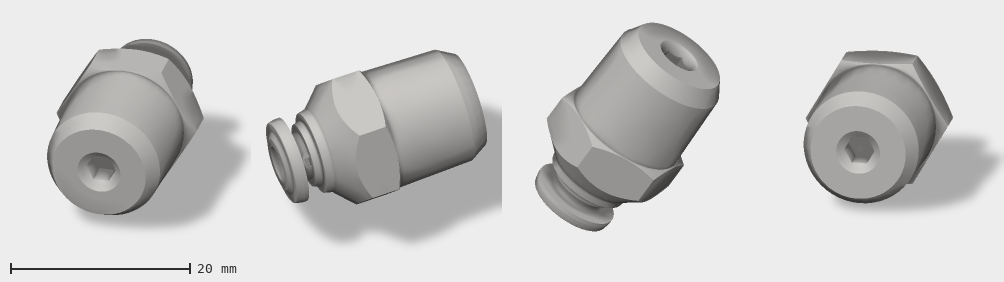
import cadquery as cq
import math


total_length = 23.0
nut_across_flats = 14.0
nut_corner_radius = nut_across_flats / 2 / math.cos(math.radians(30))

plug_end_radius = 5.4
plug_lead_angle = 30.0
plug_lead_length = 1.95
plug_lead_radius = plug_end_radius + plug_lead_length * math.tan(math.radians(plug_lead_angle))
plug_taper = 1 / 32
plug_length = 11.0
plug_base_radius = plug_lead_radius + (plug_length - plug_lead_length) * plug_taper

nut_face_radius = 6.97
nut_bevel_angle = 30.0
nut_outer_radius = nut_corner_radius + 0.23
nut_bevel_length = (nut_outer_radius - nut_face_radius) * math.tan(math.radians(nut_bevel_angle))
nut_cone_end_y = 17.99
nut_cone_end_radius = 4.9
nut_cone_start_y = nut_cone_end_y - (nut_outer_radius - nut_cone_end_radius)

collar_end_y = 18.98
collar_end_radius = 4.67

ring_root_radius = 3.73
ring_crest_y = 19.15
ring_crest_radius = 3.85
ring_end_y = 19.87
ring_end_radius = 3.65
neck_radius = 2.75
neck_fillet_radius = 0.48
flange_y = 21.18
flange_radius = 4.9
flange_rim_width = 0.5
flange_face_y = 22.56
flange_cone_end_radius = 4.74
flange_edge_rounding = 0.14
button_base_radius = 3.68
button_tip_radius = 3.05

bore_radius = 2.12

socket_across_flats = 3.0
socket_corner_diameter = socket_across_flats / math.cos(math.radians(30))
socket_depth = 3.45
socket_mouth_radius = 2.48
countersink_depth = socket_mouth_radius - socket_across_flats / 2

notch_angle = 140.0
notch_width = 1.05
notch_length = 0.65


def revolve_outline(outline):
    """Turn an outline of (radius, y) points about the Y axis."""
    return cq.Workplane("XY").polyline(outline).close().revolve(360, (0, 0, 0), (0, 1, 0))


def along_y(start_y):
    """Workplane facing +Y at start_y, with its own x axis along X."""
    return cq.Workplane(cq.Plane((0, start_y, 0), (1, 0, 0), (0, 1, 0)))


def make_plug():
    return revolve_outline([
        (0, 0),
        (plug_end_radius, 0),
        (plug_lead_radius, plug_lead_length),
        (plug_base_radius, plug_length),
        (0, plug_length),
    ])


def make_nut():
    prism = along_y(plug_length).polygon(6, 2 * nut_corner_radius).extrude(nut_cone_end_y - plug_length)
    envelope = revolve_outline([
        (0, plug_length),
        (nut_face_radius, plug_length),
        (nut_outer_radius, plug_length + nut_bevel_length),
        (nut_outer_radius, nut_cone_start_y),
        (nut_cone_end_radius, nut_cone_end_y),
        (0, nut_cone_end_y),
    ])
    return prism.intersect(envelope)


def make_collar():
    return revolve_outline([
        (0, nut_cone_end_y),
        (nut_cone_end_radius, nut_cone_end_y),
        (collar_end_radius, collar_end_y),
        (0, collar_end_y),
    ])


def make_sleeve():
    fillet_start = (neck_radius, flange_y - neck_fillet_radius)
    fillet_end = (neck_radius + neck_fillet_radius, flange_y)
    rounding_start = (flange_cone_end_radius, flange_face_y - flange_edge_rounding)
    rounding_end = (flange_cone_end_radius - flange_edge_rounding, flange_face_y)
    outline = (
        cq.Workplane("XY")
        .moveTo(0, collar_end_y)
        .lineTo(ring_root_radius, collar_end_y)
        .lineTo(ring_crest_radius, ring_crest_y)
        .lineTo(ring_end_radius, ring_end_y)
        .lineTo(neck_radius, ring_end_y)
        .lineTo(*fillet_start)
        .radiusArc(fillet_end, neck_fillet_radius)
        .lineTo(flange_radius, flange_y)
        .lineTo(flange_radius, flange_y + flange_rim_width)
        .lineTo(*rounding_start)
        .radiusArc(rounding_end, -flange_edge_rounding)
        .lineTo(button_base_radius, flange_face_y)
        .lineTo(button_tip_radius, total_length)
        .lineTo(0, total_length)
        .close()
    )
    return outline.revolve(360, (0, 0, 0), (0, 1, 0))


def make_socket():
    hexagon = along_y(0).polygon(6, socket_corner_diameter).extrude(socket_depth)
    countersink = revolve_outline([
        (0, 0),
        (socket_mouth_radius, 0),
        (socket_across_flats / 2, countersink_depth),
        (0, countersink_depth),
    ])
    return hexagon.union(countersink)


def make_bore():
    return along_y(collar_end_y).circle(bore_radius).extrude(total_length - collar_end_y)


def make_notch():
    box = cq.Workplane("XY").box(neck_radius, notch_length, notch_width, centered=(False, False, True))
    box = box.translate((0, ring_end_y, 0))
    return box.rotate((0, 0, 0), (0, 1, 0), -notch_angle)


body = make_plug().union(make_nut()).union(make_collar()).union(make_sleeve())
result = body.cut(make_socket()).cut(make_bore()).cut(make_notch())